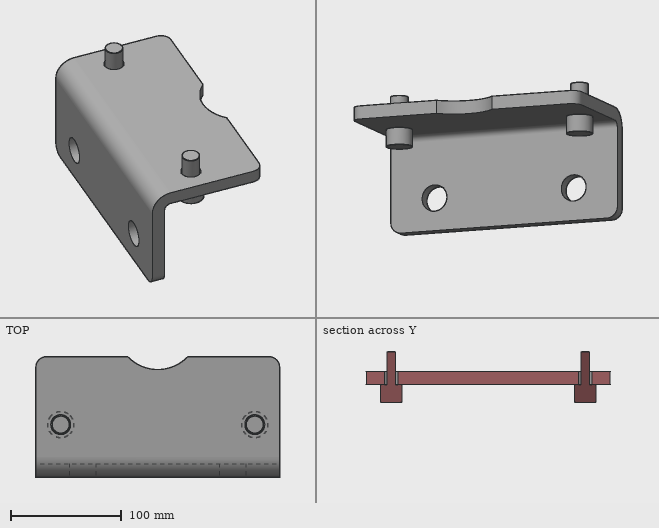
import cadquery as cq

length = 220.0
depth = 109.0
height = 100.0
thickness = 12.0
outer_bend_radius = 18.0
inner_bend_radius = outer_bend_radius - thickness
corner_radius = 10.0

mount_hole_diameter = 24.0
mount_hole_spacing = 135.0
mount_hole_height = 30.0

notch_width = 54.1
notch_depth = 11.7

bolt_spacing = 175.0
bolt_setback = 47.5
bolt_hole_diameter = 18.0
shank_diameter = 16.0
shank_projection = 17.8
head_diameter = 24.0
head_height = 16.0
bolt_chamfer = 0.5

underside = height - thickness
bolt_positions = [(side * bolt_spacing / 2, bolt_setback) for side in (-1, 1)]


def make_bent_plate():
    """L-shaped plate with concentric bend radii and rounded free corners."""
    plate = (
        cq.Workplane("YZ")
        .polyline([
            (0, 0),
            (0, height),
            (depth, height),
            (depth, underside),
            (thickness, underside),
            (thickness, 0),
        ])
        .close()
        .extrude(length / 2, both=True)
    )
    plate = plate.edges("|X and <Y and >Z").fillet(outer_bend_radius)
    inner_edge = cq.selectors.NearestToPointSelector((0, thickness, underside))
    plate = plate.edges(inner_edge).fillet(inner_bend_radius)
    plate = plate.edges("|Z and >Y").fillet(corner_radius)
    return plate.edges("|Y and <Z").fillet(corner_radius)


def make_notch():
    """Circular segment cut down through the free edge of the horizontal leg."""
    return (
        cq.Workplane("XY")
        .workplane(offset=underside)
        .moveTo(-notch_width / 2, depth)
        .threePointArc((0, depth - notch_depth), (notch_width / 2, depth))
        .close()
        .extrude(thickness)
    )


def make_mount_holes():
    """Cutters for the holes through the vertical leg."""
    positions = [(side * mount_hole_spacing / 2, mount_hole_height) for side in (-1, 1)]
    return (
        cq.Workplane("XZ")
        .pushPoints(positions)
        .circle(mount_hole_diameter / 2)
        .extrude(-thickness)
    )


def make_bolt_holes():
    """Cutters for the clearance holes through the horizontal leg."""
    return (
        cq.Workplane("XY")
        .workplane(offset=underside)
        .pushPoints(bolt_positions)
        .circle(bolt_hole_diameter / 2)
        .extrude(thickness)
    )


def make_bolt(x, y):
    """Bolt with chamfered ends, its head against the underside and its shank pointing up."""
    head = (
        cq.Workplane("XY", origin=(x, y, underside))
        .circle(head_diameter / 2)
        .extrude(-head_height)
        .faces("<Z or >Z")
        .chamfer(bolt_chamfer)
    )
    shank = (
        cq.Workplane("XY", origin=(x, y, underside))
        .circle(shank_diameter / 2)
        .extrude(thickness + shank_projection)
        .faces(">Z")
        .chamfer(bolt_chamfer)
    )
    return head.union(shank)


bracket = (
    make_bent_plate()
    .cut(make_notch())
    .cut(make_mount_holes())
    .cut(make_bolt_holes())
)
bolts = [make_bolt(x, y) for x, y in bolt_positions]

result = cq.Compound.makeCompound([bracket.val(), *[bolt.val() for bolt in bolts]])